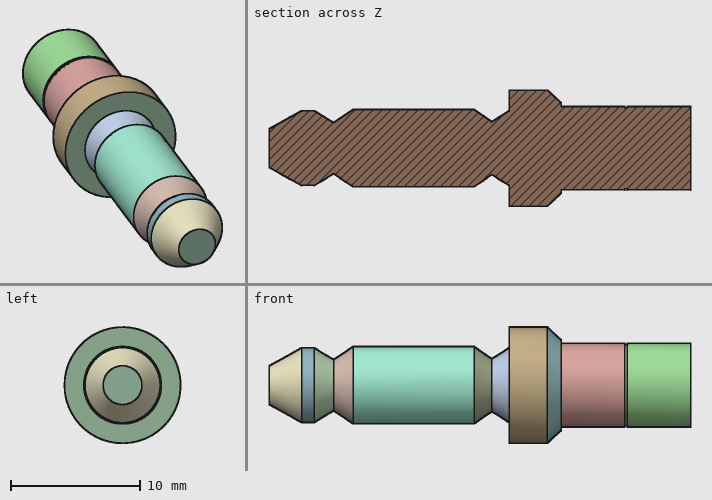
import cadquery as cq


nose_tip_diameter = 3.0
head_diameter = 5.8
front_neck_diameter = 3.98
pin_diameter = 6.0
rear_neck_diameter = 4.1
neck_cone_end_diameter = 5.8
flange_diameter = 9.0
flange_chamfer_end_diameter = 6.97
shank_diameter = 6.5
groove_diameter = 6.3

total_length = 32.6
head_start = 2.5
head_end = 3.5
front_neck = 5.0
pin_start = 6.5
pin_end = 15.85
rear_neck = 17.2
flange_front = 18.55
flange_chamfer_start = 21.5
flange_back = 22.6

groove_width = 0.2
groove_center = (flange_back + total_length) / 2
groove_start = groove_center - groove_width / 2
groove_end = groove_center + groove_width / 2

profile = [
    (0, nose_tip_diameter),
    (head_start, head_diameter),
    (head_end, head_diameter),
    (front_neck, front_neck_diameter),
    (pin_start, pin_diameter),
    (pin_end, pin_diameter),
    (rear_neck, rear_neck_diameter),
    (flange_front, neck_cone_end_diameter),
    (flange_front, flange_diameter),
    (flange_chamfer_start, flange_diameter),
    (flange_back, flange_chamfer_end_diameter),
    (flange_back, shank_diameter),
    (groove_start, shank_diameter),
    (groove_start, groove_diameter),
    (groove_end, groove_diameter),
    (groove_end, shank_diameter),
    (total_length, shank_diameter),
]

outline = cq.Workplane("XY").moveTo(0, 0)
for position, diameter in profile:
    outline = outline.lineTo(position, diameter / 2)
outline = outline.lineTo(total_length, 0).close()

result = outline.revolve(360, (0, 0, 0), (1, 0, 0))